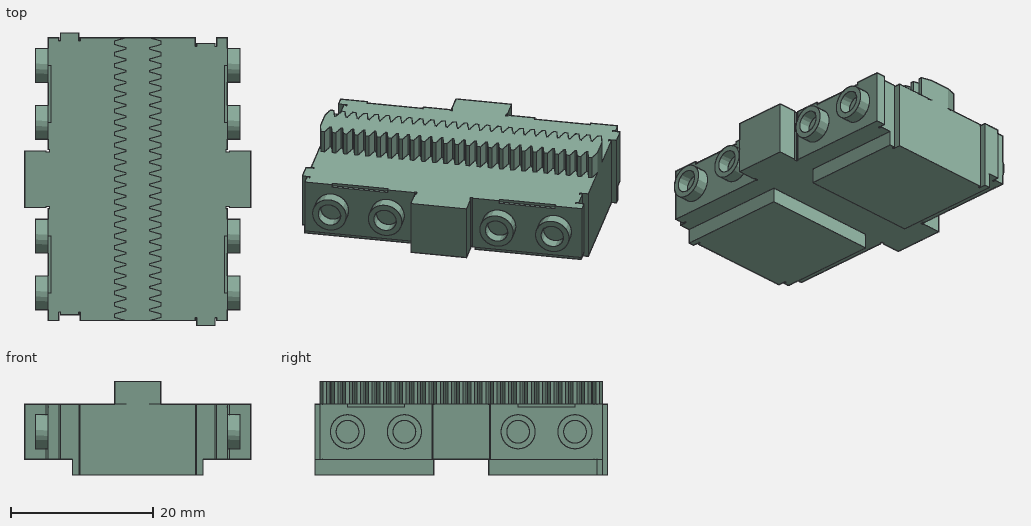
import cadquery as cq

body_width = 25.2
body_length = 39.8
base_height = 2.2
body_top = 10.0

base_width = 18.4
channel_width = 7.7

arm_span = 31.8
arm_width = 8.0
relief_inward = 0.15
relief_outward = 0.3
relief_width = 0.3

tab_x = 9.6
tab_width = 2.6
tab_projection = 0.7
recess_depth = 0.8
groove_width = 0.2
groove_depth = 0.4

stud_diameter = 4.8
stud_bore = 3.2
stud_length = 1.8
stud_pitch = 8.0

step_size = 0.4

rack_height = 3.2
rack_tip_half_width = 3.25
rack_root_half_width = 1.65
tooth_pitch = 1.6
tooth_tip = 0.5
tooth_root = 0.2
teeth_per_side = 25

half_width = body_width / 2
half_length = body_length / 2
slot_width = tab_width + 2 * groove_width
stud_z = (base_height + body_top) / 2
stud_places = [n * stud_pitch for n in (-2, -1, 1, 2)]
step_length = stud_pitch
step_center = (stud_places[-2] + stud_places[-1]) / 2


def box(x_range, y_range, z_range):
    """Axis-aligned block given by its lower and upper limits."""
    (x0, x1), (y0, y1), (z0, z1) = x_range, y_range, z_range
    return cq.Workplane("XY").box(x1 - x0, y1 - y0, z1 - z0, centered=False).translate((x0, y0, z0))


def centered_range(center, size):
    return (center - size / 2, center + size / 2)


def turned(shape):
    """The same shape half a turn around Z."""
    return shape.rotate((0, 0, 0), (0, 0, 1), 180)


def add_end_tab_and_recess(body):
    """One tab and one recess on the -Y end, each with relief grooves beside it."""
    full_height = (0, body_top)
    slot_floor = -half_length + groove_depth
    recess_floor = -half_length + recess_depth
    tab_slot = box(centered_range(tab_x, slot_width), (-half_length, slot_floor), full_height)
    tab = box(
        centered_range(tab_x, tab_width),
        (-half_length - tab_projection, slot_floor),
        full_height,
    )
    recess_slot = box(
        centered_range(-tab_x, slot_width),
        (-half_length, recess_floor + groove_depth),
        full_height,
    )
    recess_pad = box(
        centered_range(-tab_x, tab_width),
        (recess_floor, recess_floor + groove_depth),
        full_height,
    )
    return body.cut(tab_slot).union(tab).cut(recess_slot).union(recess_pad)


def make_body():
    """Body with arms and end features, undercut to leave the two base pads."""
    body = cq.Workplane("XY").box(body_width, body_length, body_top, centered=(True, True, False))
    arms = cq.Workplane("XY").box(arm_span, arm_width, body_top, centered=(True, True, False))
    body = body.union(arms)

    body = add_end_tab_and_recess(body)
    body = turned(add_end_tab_and_recess(turned(body)))

    for side in (-1, 1):
        for end in (-1, 1):
            relief_x = side * (half_width + (relief_outward - relief_inward) / 2)
            relief = box(
                centered_range(relief_x, relief_inward + relief_outward),
                centered_range(end * arm_width / 2, relief_width),
                (0, body_top),
            )
            body = body.cut(relief)

    total_length = body_length + 2 * tab_projection
    margin_width = (arm_span - base_width) / 2
    margin_x = (arm_span + base_width) / 4
    for side in (-1, 1):
        undercut = box(
            centered_range(side * margin_x, margin_width),
            centered_range(0, total_length),
            (0, base_height),
        )
        body = body.cut(undercut)
    channel = box(centered_range(0, arm_span), centered_range(0, channel_width), (0, base_height))
    return body.cut(channel)


def cut_edge_steps(body):
    for side in (-1, 1):
        for end in (-1, 1):
            step = box(
                centered_range(side * (half_width - step_size / 2), step_size),
                centered_range(end * step_center, step_length),
                (body_top - step_size, body_top),
            )
            body = body.cut(step)
    return body


def make_studs():
    """Tubular studs along the +X side face."""
    centers = [(y, stud_z) for y in stud_places]
    return (
        cq.Workplane("YZ", origin=(half_width, 0, 0))
        .pushPoints(centers)
        .circle(stud_diameter / 2)
        .circle(stud_bore / 2)
        .extrude(stud_length)
    )


def make_rack():
    """Rack with straight-flanked teeth on both sides, trimmed to the body length."""
    tooth_foot_half = (tooth_pitch - tooth_root) / 2
    tooth_tip_half = tooth_tip / 2
    right_edge = []
    for n in range(teeth_per_side):
        y = (n - (teeth_per_side - 1) / 2) * tooth_pitch
        right_edge.append((rack_root_half_width, y - tooth_foot_half))
        right_edge.append((rack_tip_half_width, y - tooth_tip_half))
        right_edge.append((rack_tip_half_width, y + tooth_tip_half))
        right_edge.append((rack_root_half_width, y + tooth_foot_half))
    left_edge = [(-x, y) for x, y in reversed(right_edge)]
    toothed = cq.Workplane("XY", origin=(0, 0, body_top)).polyline(right_edge + left_edge).close()
    envelope = box(
        centered_range(0, 2 * rack_tip_half_width),
        centered_range(0, body_length),
        (body_top, body_top + rack_height),
    )
    return toothed.extrude(rack_height).intersect(envelope)


studs = make_studs()
result = cut_edge_steps(make_body()).union(studs).union(turned(studs)).union(make_rack())